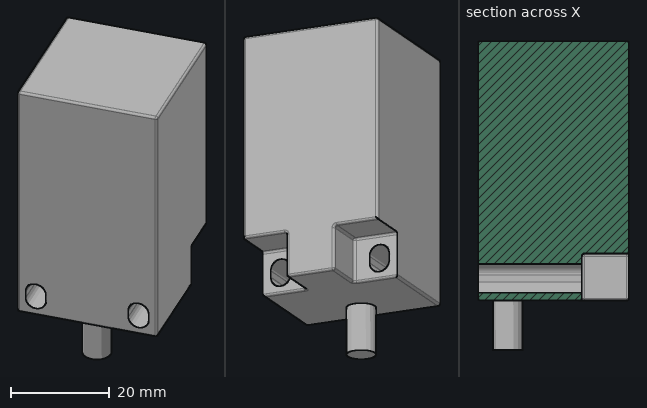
import cadquery as cq

width = 30.0
depth = 30.5
total_height = 62.5
cable_length = 10.0
body_height = total_height - cable_length
edge_radius = 0.5

recess_width = 9.7
recess_depth = 9.5
recess_height = 9.5

slot_width = 4.4
slot_length = 5.75
slot_spacing = 22.0
slot_center_height = 4.5

cable_diameter = 6.0
cable_center_from_front = 6.0


def make_housing():
    """Block with two lower rear corner recesses; all edges rounded but the recess rims on the sides."""
    housing = cq.Workplane("XY").box(width, depth, body_height, centered=(True, True, False))
    for side in (-1, 1):
        recess = (
            cq.Workplane("XY")
            .box(recess_width, recess_depth, recess_height, centered=(True, True, False))
            .translate((side * (width - recess_width) / 2, (depth - recess_depth) / 2, 0))
        )
        housing = housing.cut(recess)
    outer_rims = []
    for side in (-1, 1):
        side_face = housing.faces("<X" if side < 0 else ">X")
        rear_wall = side_face.edges("|Z").edges(cq.selectors.NearestToPointSelector(
            (side * width / 2, depth / 2 - recess_depth, recess_height / 2)))
        ceiling = side_face.edges("|Y").edges(cq.selectors.NearestToPointSelector(
            (side * width / 2, (depth - recess_depth) / 2, recess_height)))
        outer_rims += rear_wall.vals() + ceiling.vals()
    rounded = [edge for edge in housing.edges().vals() if not any(edge.isSame(rim) for rim in outer_rims)]
    return housing.newObject(rounded).fillet(edge_radius)


def make_slots():
    """Pair of upright obround cutters."""
    return (
        cq.Workplane("XZ")
        .pushPoints([(side * slot_spacing / 2, slot_center_height) for side in (-1, 1)])
        .slot2D(slot_length, slot_width, 90)
        .extrude(depth, both=True)
    )


def make_cable():
    """Round cable stub below the housing, rooted just inside it."""
    root_height = 2 * edge_radius
    return (
        cq.Workplane("XY", origin=(0, cable_center_from_front - depth / 2, -cable_length))
        .circle(cable_diameter / 2)
        .extrude(cable_length + root_height)
    )


result = make_housing().cut(make_slots()).union(make_cable())